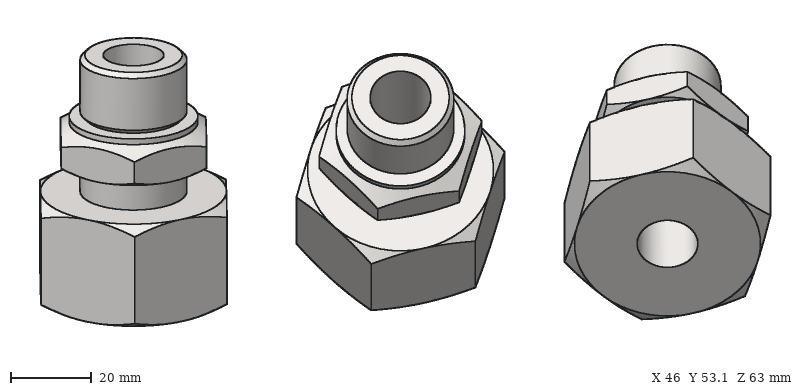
import cadquery as cq
import math

NUT_TOP = 27.0
HEX_BOTTOM = 35.35
COLLAR_BOTTOM = 45.35
COLLAR_TOP = 46.9
RELIEF_TOP = 48.15
OVERALL_HEIGHT = 63.0

NUT_FLATS = 46.0
BODY_FLATS = 36.0
CHAMFER_ANGLE = 30.0
ENVELOPE_MARGIN = 0.6

STEM_DIAMETER = 26.45
COLLAR_DIAMETER = 31.9
RELIEF_DIAMETER = 23.9
BORE_DIAMETER = 15.0
TIP_CHAMFER = 1.2


def revolve_about_z(profile):
    """Solid of revolution from (radius, height) points."""
    return cq.Workplane("XZ").polyline(profile).close().revolve(360, (0, 0, 0), (0, 1, 0))


def chamfered_hex(flats, bottom, top, top_face_diameter):
    """Hexagon with corners on the Y axis, trimmed by a cone at each end."""
    corner_radius = flats / 2 / math.cos(math.radians(30))
    prism = (
        cq.Workplane("XY", origin=(0, 0, bottom))
        .transformed(rotate=(0, 0, 30))
        .polygon(6, 2 * corner_radius)
        .extrude(top - bottom)
    )

    envelope_radius = corner_radius + ENVELOPE_MARGIN
    bottom_face_radius = flats / 2
    top_face_radius = top_face_diameter / 2
    slope = math.tan(math.radians(CHAMFER_ANGLE))
    envelope = revolve_about_z([
        (0, bottom),
        (bottom_face_radius, bottom),
        (envelope_radius, bottom + (envelope_radius - bottom_face_radius) * slope),
        (envelope_radius, top - (envelope_radius - top_face_radius) * slope),
        (top_face_radius, top),
        (0, top),
    ])
    return prism.intersect(envelope)


def turned_stem():
    """Neck, sealing collar, thread relief and threaded end in one profile."""
    stem = STEM_DIAMETER / 2
    collar = COLLAR_DIAMETER / 2
    relief = RELIEF_DIAMETER / 2
    profile = [
        (0, 0),
        (stem, 0),
        (stem, COLLAR_BOTTOM),
        (collar, COLLAR_BOTTOM),
        (collar, COLLAR_TOP),
        (relief, COLLAR_TOP),
        (stem, RELIEF_TOP),
        (stem, OVERALL_HEIGHT - TIP_CHAMFER),
        (stem - TIP_CHAMFER, OVERALL_HEIGHT),
        (0, OVERALL_HEIGHT),
    ]
    return revolve_about_z(profile)


nut = chamfered_hex(NUT_FLATS, 0, NUT_TOP, NUT_FLATS)
body_hex = chamfered_hex(BODY_FLATS, HEX_BOTTOM, COLLAR_BOTTOM, COLLAR_DIAMETER)
bore = cq.Workplane("XY").circle(BORE_DIAMETER / 2).extrude(OVERALL_HEIGHT)

result = nut.union(body_hex).union(turned_stem()).cut(bore)